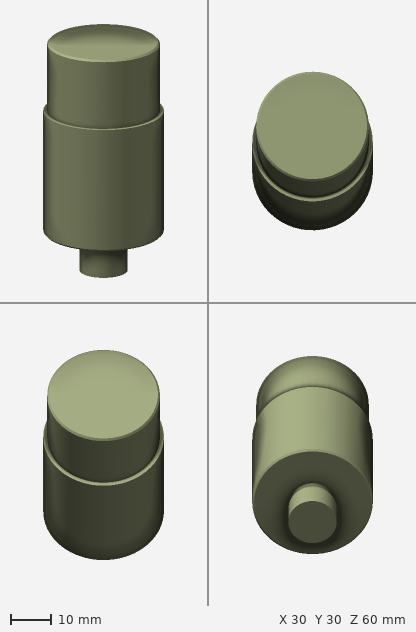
import cadquery as cq

total_height = 60.0
body_diameter = 30.0
cap_diameter = 28.0
cap_height = 18.0
edge_chamfer = 0.5

connector_length = 10.0
plug_diameter = 12.0
plug_length = 7.0
collar_diameter = 11.4
collar_length = 0.95
neck_diameter = 11.0

collar_top = plug_length + collar_length
body_top = total_height - cap_height


def cylinder(diameter, bottom, top):
    """Solid cylinder on the Z axis between two levels."""
    return cq.Workplane("XY").workplane(offset=bottom).circle(diameter / 2).extrude(top - bottom)


body = cylinder(body_diameter, connector_length, body_top).faces("<Z").chamfer(edge_chamfer)
cap = cylinder(cap_diameter, body_top, total_height).faces(">Z").chamfer(edge_chamfer)

plug = cylinder(plug_diameter, 0, plug_length)
collar = cylinder(collar_diameter, plug_length, collar_top)
neck = cylinder(neck_diameter, collar_top, connector_length)

result = body.union(cap).union(neck).union(collar).union(plug)